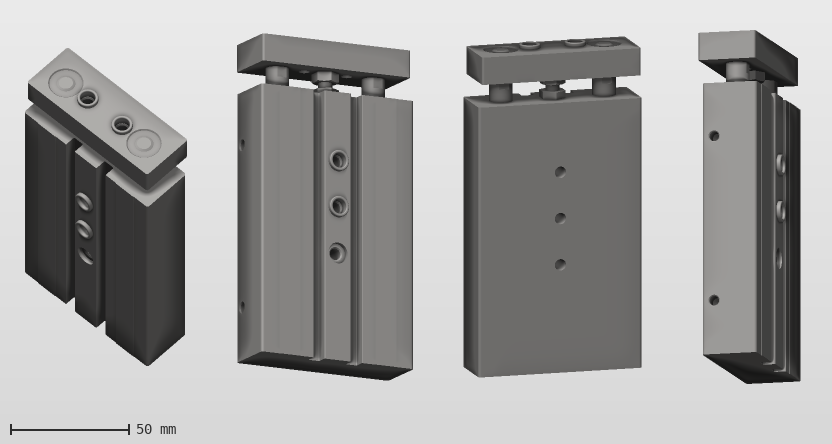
import cadquery as cq
import math

housing_width = 72.0
housing_depth = 24.0
housing_height = 116.6
housing_corner_radius = 1.2
housing_front = -housing_depth / 2

slot_center_x = 8.9
slot_width = 5.2
slot_depth = 5.2
slot_mouth_chamfer = 0.3
slot_floor_chamfer = 0.4

land_width = 10.0
land_height = 0.2

plate_width = 70.0
plate_depth = 25.0
plate_thickness = 11.8
plate_corner_radius = 1.0
plate_overhang_back = 2.0
stroke_gap = 10.2
plate_bottom = housing_height + stroke_gap
plate_top = plate_bottom + plate_thickness
plate_center_y = housing_depth / 2 + plate_overhang_back - plate_depth / 2

rod_engagement = 20.0

rod_x = 22.75
rod_diameter = 10.0
rod_across_flats = 9.0
rod_flat_height = 4.6
rod_end_diameter = 8.0
rod_end_tip_diameter = 6.0
rod_end_taper = (rod_end_diameter - rod_end_tip_diameter) / 2

recess_top_diameter = 15.0
recess_floor_diameter = 14.0
recess_depth = 0.5

piston_rod_diameter = 6.0
hex_across_flats = 10.0
hex_across_corners = hex_across_flats / math.cos(math.pi / 6)
lower_hex_height = 3.2
upper_hex_height = 4.0
upper_hex_bevel_height = 0.4
upper_hex_bevel_width = 0.8

thread_core_diameter = 4.92
thread_mouth_diameter = 6.0
sleeve_diameter = 9.0
sleeve_bore_diameter = 6.4
sleeve_length = 4.0
sleeve_protrusion = 1.8
sleeve_tip_radius = 0.5
sleeve_seat_depth = sleeve_length - sleeve_protrusion
plate_hole_x = 10.0
mount_pitch = 20.0
mount_top_offset = 30.0
mount_heights = [housing_height - mount_top_offset - i * mount_pitch for i in range(3)]
sleeved_mount_heights = mount_heights[:2]

port_core_diameter = 4.13
port_mouth_diameter = 5.0
port_depth = 6.0
port_y = 6.8
port_end_offset = 23.0
drill_point_angle = math.radians(118)


def revolved(profile):
    """Solid of revolution about Z from (radius, height) points."""
    return cq.Workplane("XZ").polyline(profile).close().revolve(360, (0, 0), (0, 1))


def cylinder(diameter, bottom, top):
    """Cylinder about Z between two heights."""
    return cq.Workplane("XY").workplane(offset=bottom).circle(diameter / 2).extrude(top - bottom)


def facing_front(body, height):
    """Turn a body's +Z axis to -Y and move its origin to the housing front."""
    return body.rotate((0, 0, 0), (1, 0, 0), 90).translate((0, housing_front, height))


def sleeve():
    """Centring sleeve with the face it is mounted on at Z = 0."""
    outer = sleeve_diameter / 2
    inner = sleeve_bore_diameter / 2
    return revolved([
        (inner, -sleeve_seat_depth),
        (outer, -sleeve_seat_depth),
        (outer, sleeve_protrusion),
        (inner, sleeve_protrusion),
    ]).faces(">Z").edges().fillet(sleeve_tip_radius)


def mount_hole(length):
    """Cutter for a sleeve seat and countersunk thread core, mouth at Z = 0."""
    seat = sleeve_diameter / 2
    mouth = thread_mouth_diameter / 2
    core = thread_core_diameter / 2
    return revolved([
        (0, 0),
        (seat, 0),
        (seat, -sleeve_seat_depth),
        (mouth, -sleeve_seat_depth),
        (core, -sleeve_seat_depth - (mouth - core)),
        (core, -length),
        (0, -length),
    ])


def port_hole():
    """Cutter for a countersunk blind port with a drill point, mouth at Z = 0."""
    mouth = port_mouth_diameter / 2
    core = port_core_diameter / 2
    point_length = core / math.tan(drill_point_angle / 2)
    return revolved([
        (0, 0),
        (mouth, 0),
        (core, core - mouth),
        (core, -port_depth),
        (0, -port_depth - point_length),
    ])


def sensor_slot(center_x):
    """Cutter for one slot, open to the front with chamfered mouth and floor corners."""
    half = slot_width / 2
    mouth_half = half + slot_mouth_chamfer
    floor_half = half - slot_floor_chamfer
    floor = housing_front + slot_depth
    right_half = [
        (mouth_half, housing_front),
        (half, housing_front + slot_mouth_chamfer),
        (half, floor - slot_floor_chamfer),
        (floor_half, floor),
    ]
    left_half = [(-x, y) for x, y in reversed(right_half)]
    outline = [(center_x + x, y) for x, y in right_half + left_half]
    return cq.Workplane("XY").polyline(outline).close().extrude(housing_height)


def make_housing():
    relieved_front = housing_front + land_height
    body = (
        cq.Workplane("XY")
        .center(0, land_height / 2)
        .rect(housing_width, housing_depth - land_height)
        .extrude(housing_height)
        .edges("|Z").fillet(housing_corner_radius)
    )
    lands = (
        cq.Workplane("XY")
        .pushPoints([(-rod_x, relieved_front), (rod_x, relieved_front)])
        .rect(land_width, 2 * land_height)
        .extrude(housing_height)
    )
    rib = (
        cq.Workplane("XY")
        .center(0, relieved_front)
        .rect(2 * slot_center_x, 2 * land_height)
        .extrude(housing_height)
    )
    body = body.union(lands).union(rib)
    for side in (-1, 1):
        body = body.cut(sensor_slot(side * slot_center_x))
        rod_hole = cylinder(rod_diameter, housing_height - rod_engagement, housing_height)
        body = body.cut(rod_hole.translate((side * rod_x, 0, 0)))
    side_port = port_hole().rotate((0, 0, 0), (0, 1, 0), -90)
    for height in (port_end_offset, housing_height - port_end_offset):
        body = body.cut(side_port.translate((-housing_width / 2, port_y, height)))
    for height in mount_heights:
        body = body.cut(facing_front(mount_hole(housing_depth), height))
    return body.cut(cylinder(piston_rod_diameter, housing_height - rod_engagement, housing_height))


def make_guide_rod(x):
    rod = cylinder(rod_diameter, housing_height - rod_engagement, plate_bottom)
    flats = (
        cq.Workplane("XY").workplane(offset=plate_bottom - rod_flat_height)
        .rect(rod_diameter, rod_diameter)
        .rect(rod_diameter, rod_across_flats)
        .extrude(rod_flat_height)
    )
    end = cylinder(rod_end_diameter, plate_bottom, plate_top)
    end = end.faces(">Z").edges().chamfer(recess_depth, rod_end_taper)
    return rod.cut(flats).union(end).translate((x, 0, 0))


def hexagon(bottom, height):
    """Hexagonal prism with corners toward front and back."""
    prism = cq.Workplane("XY").workplane(offset=bottom).polygon(6, hex_across_corners).extrude(height)
    return prism.rotate((0, 0, 0), (0, 0, 1), 30)


def make_plate():
    """Yoke plate joined with the piston rod and its two hexagons."""
    plate = (
        cq.Workplane("XY").workplane(offset=plate_bottom)
        .center(0, plate_center_y)
        .rect(plate_width, plate_depth)
        .extrude(plate_thickness)
        .edges("|Z").fillet(plate_corner_radius)
    )
    recess = revolved([
        (0, plate_top),
        (recess_top_diameter / 2, plate_top),
        (recess_floor_diameter / 2, plate_top - recess_depth),
        (0, plate_top - recess_depth),
    ])
    rod_seat = cylinder(rod_end_diameter, plate_bottom, plate_top).union(recess)
    sleeve_hole = mount_hole(plate_thickness).translate((0, 0, plate_top))
    for side in (-1, 1):
        plate = plate.cut(rod_seat.translate((side * rod_x, 0, 0)))
        plate = plate.cut(sleeve_hole.translate((side * plate_hole_x, 0, 0)))

    bevel_radius = hex_across_corners / 2
    bevel_bottom = plate_bottom - upper_hex_height
    upper_hex = hexagon(bevel_bottom, upper_hex_height)
    bevel = revolved([
        (0, bevel_bottom),
        (bevel_radius - upper_hex_bevel_width, bevel_bottom),
        (bevel_radius, bevel_bottom + upper_hex_bevel_height),
        (bevel_radius, plate_bottom),
        (0, plate_bottom),
    ])
    piston_rod = cylinder(piston_rod_diameter, housing_height - rod_engagement, plate_bottom)
    plate = plate.union(upper_hex.intersect(bevel))
    return plate.union(piston_rod).union(hexagon(housing_height, lower_hex_height))


housing = make_housing()
plate = make_plate()
guide_rods = [make_guide_rod(side * rod_x) for side in (-1, 1)]
front_sleeves = [facing_front(sleeve(), height) for height in sleeved_mount_heights]
plate_sleeves = [sleeve().translate((side * plate_hole_x, 0, plate_top)) for side in (-1, 1)]

bodies = [housing, plate, *guide_rods, *front_sleeves, *plate_sleeves]
result = cq.Compound.makeCompound([body.solids().val() for body in bodies])